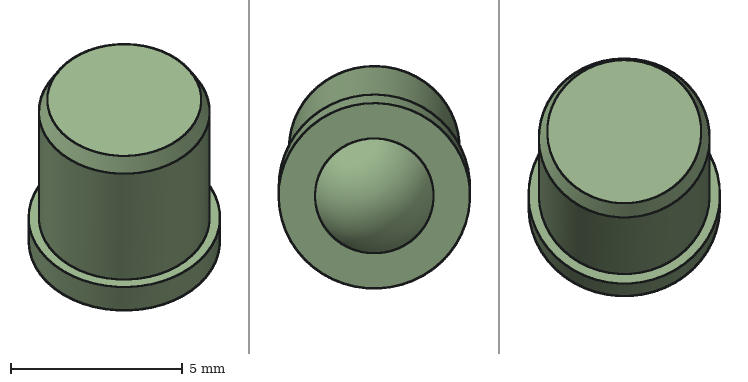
import cadquery as cq
import math

total_height = 7.0
flange_diameter = 5.6
flange_height = 1.0
body_diameter = 5.0
taper_height = 0.5
tip_diameter = 4.5
ball_diameter = 4.005
ball_protrusion = 1.0

flange_radius = flange_diameter / 2
body_radius = body_diameter / 2
tip_radius = tip_diameter / 2
ball_radius = ball_diameter / 2
flange_bottom = ball_protrusion
flange_top = flange_bottom + flange_height
taper_bottom = total_height - taper_height

cap_radius = math.sqrt(ball_radius**2 - (ball_radius - ball_protrusion) ** 2)

half_cap_angle = math.asin(cap_radius / ball_radius) / 2
cap_middle = (
    ball_radius * math.sin(half_cap_angle),
    ball_radius * (1 - math.cos(half_cap_angle)),
)

profile = (
    cq.Workplane("XZ")
    .moveTo(0, 0)
    .threePointArc(cap_middle, (cap_radius, flange_bottom))
    .lineTo(flange_radius, flange_bottom)
    .lineTo(flange_radius, flange_top)
    .lineTo(body_radius, flange_top)
    .lineTo(body_radius, taper_bottom)
    .lineTo(tip_radius, total_height)
    .lineTo(0, total_height)
    .close()
)

result = profile.revolve(360, (0, 0, 0), (0, 1, 0))